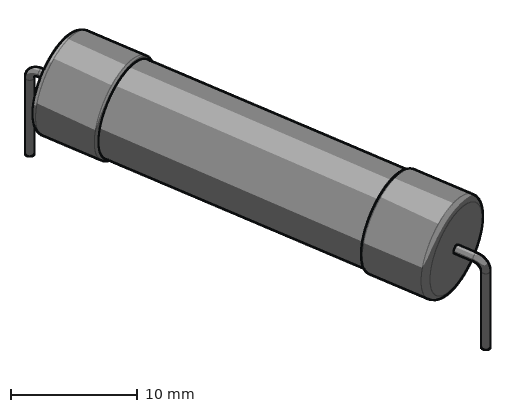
import cadquery as cq

span = 42.75
height = 14.0

body_length = 36.5
cap_diameter = 9.0
cap_length = 6.15
tube_diameter = 8.55
outer_rounding = 0.5
inner_rounding = (cap_diameter - tube_diameter) / 2

wire_diameter = 0.75
bend_radius = 1.0

body_end = body_length / 2
leg_x = (span - wire_diameter) / 2
leg_bottom = cap_diameter / 2 - height


def make_tube():
    """Plain cylinder between the inner ends of the caps, reaching into both."""
    tube_length = body_length - cap_length
    return cq.Workplane("YZ").circle(tube_diameter / 2).extrude(tube_length / 2, both=True)


def make_cap():
    """Cap at the +X end, rounded at both rims."""
    inner_end = cq.Workplane("YZ", origin=(body_end - cap_length, 0, 0))
    cap = inner_end.circle(cap_diameter / 2).extrude(cap_length)
    cap = cap.faces(">X").edges().fillet(outer_rounding)
    return cap.faces("<X").edges().fillet(inner_rounding)


def make_lead():
    """Wire that leaves the middle of the +X cap and bends down into a leg."""
    wire_start = body_end - cap_length / 2
    path = (
        cq.Workplane("XZ")
        .moveTo(wire_start, 0)
        .lineTo(leg_x - bend_radius, 0)
        .tangentArcPoint((leg_x, -bend_radius), relative=False)
        .lineTo(leg_x, leg_bottom)
    )
    section = cq.Workplane("YZ", origin=(wire_start, 0, 0)).circle(wire_diameter / 2)
    return section.sweep(path)


result = make_tube()
end_parts = make_cap().union(make_lead())
for end in (end_parts, end_parts.mirror("YZ")):
    result = result.union(end)